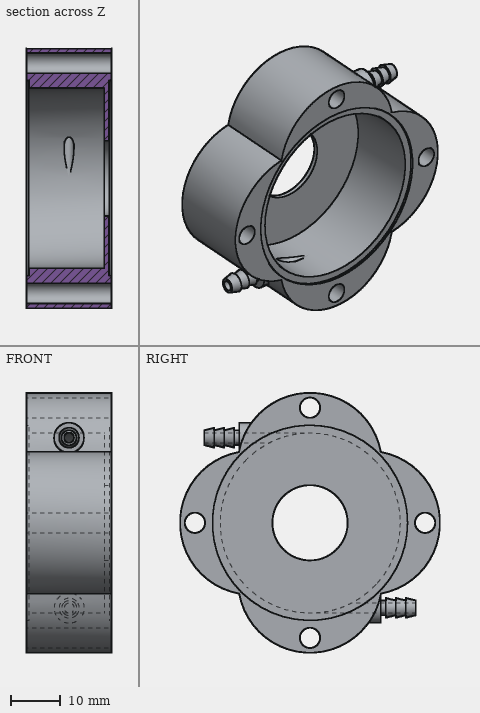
import cadquery as cq
import math

body_length = 17.0
outer_span = 52.0
lobe_radius = 14.4
lobe_offset = outer_span / 2 - lobe_radius
lobe_angles = [0, 90, 180, 270]

mount_hole_diameter = 4.0
mount_hole_offset = 23.0

recess_diameter = 39.0
recess_depth = 0.5
cavity_diameter = 36.0
floor_thickness = 1.0
cavity_depth = body_length - recess_depth - floor_thickness
window_diameter = 15.0

fitting_x = body_length / 2
fitting_height = 17.0
boss_diameter = 6.0
boss_start = 8.0
neck_diameter = 3.0
neck_length = 1.0
barb_count = 3
barb_length = 2.0
barb_root_diameter = 4.0
barb_tip_diameter = 3.0
port_diameter = 2.0

notch_offset = (lobe_offset + math.sqrt(2 * lobe_radius**2 - lobe_offset**2)) / 2
fitting_end = notch_offset + neck_length + barb_count * barb_length


def disc(diameter, start, length, y=0.0, z=0.0):
    """Cylinder along +X starting at X = start."""
    return cq.Workplane("YZ", origin=(start, y, z)).circle(diameter / 2).extrude(length)


def around_axis(offset, angle):
    """Y and Z of a point at the given distance and angle about the X axis."""
    radians = math.radians(angle)
    return offset * math.cos(radians), offset * math.sin(radians)


def make_body():
    """Four overlapping lobes that enclose the whole cavity."""
    body = disc(recess_diameter, 0, body_length)
    for angle in lobe_angles:
        y, z = around_axis(lobe_offset, angle)
        body = body.union(disc(2 * lobe_radius, 0, body_length, y, z))
    return body


def make_fitting():
    """Boss, neck and barbs revolved about a Y axis, pointing to -Y."""
    profile = cq.Workplane("XY").moveTo(0, -boss_start)
    profile = profile.lineTo(boss_diameter / 2, -boss_start)
    profile = profile.lineTo(boss_diameter / 2, -notch_offset)
    profile = profile.lineTo(neck_diameter / 2, -notch_offset)
    barb_start = notch_offset + neck_length
    profile = profile.lineTo(neck_diameter / 2, -barb_start)
    for index in range(barb_count):
        root = barb_start + index * barb_length
        profile = profile.lineTo(barb_root_diameter / 2, -root)
        profile = profile.lineTo(barb_tip_diameter / 2, -(root + barb_length))
    profile = profile.lineTo(0, -fitting_end).close()
    fitting = profile.revolve(360, (0, 0, 0), (0, 1, 0))
    return fitting.translate((fitting_x, 0, fitting_height))


def make_port():
    """Drilling from the fitting tip that meets the cavity wall tangentially."""
    port = cq.Workplane("XZ", origin=(fitting_x, 0, fitting_height))
    return port.circle(port_diameter / 2).extrude(fitting_end)


def both_sides(shape):
    """The shape together with its copy turned half a revolution about X."""
    return shape.union(shape.rotate((0, 0, 0), (1, 0, 0), 180))


def cut_cavity(part):
    part = part.cut(disc(cavity_diameter, 0, cavity_depth))
    for start in (0, body_length - recess_depth):
        part = part.cut(disc(recess_diameter, start, recess_depth))
    return part.cut(disc(window_diameter, 0, body_length))


def cut_mount_holes(part):
    for angle in lobe_angles:
        y, z = around_axis(mount_hole_offset, angle)
        part = part.cut(disc(mount_hole_diameter, 0, body_length, y, z))
    return part


result = make_body().union(both_sides(make_fitting()))
result = cut_cavity(result)
result = cut_mount_holes(result)
result = result.cut(both_sides(make_port()))